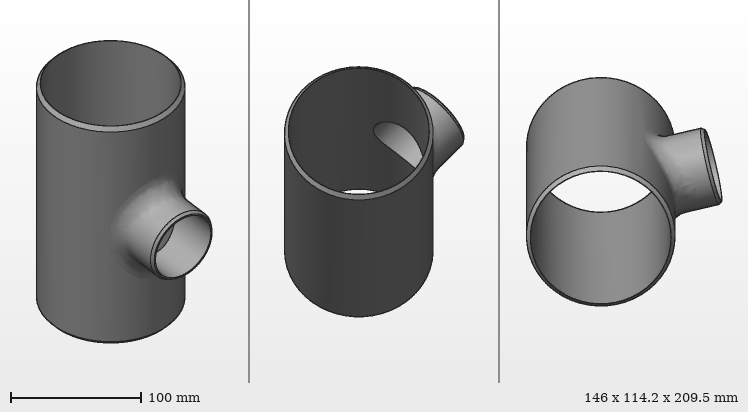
import cadquery as cq

run_length = 209.5
run_diameter = 114.2
run_wall = 3.1
run_bevel_height = 3.5
run_bevel_depth = 3.0

branch_reach = 88.9
branch_diameter = 60.4
branch_wall = 3.0
branch_bevel_length = 2.5
branch_bevel_depth = 1.7

crotch_radius = 17.6

run_radius = run_diameter / 2
branch_radius = branch_diameter / 2


def run_cylinder(radius):
    """Cylinder over the full length of the run, centred on the origin."""
    return cq.Workplane("XY").circle(radius).extrude(run_length / 2, both=True)


def branch_cylinder(radius):
    """Cylinder from the run axis out to the branch end face."""
    return cq.Workplane("YZ").circle(radius).extrude(branch_reach)


outside = run_cylinder(run_radius).union(branch_cylinder(branch_radius))
crotch_box = cq.selectors.BoxSelector(
    (0, -run_radius, -run_length / 4),
    (branch_reach - crotch_radius / 2, run_radius, run_length / 4),
)
outside = outside.edges(crotch_box).fillet(crotch_radius)

outside = outside.faces("<Z").edges().chamfer(run_bevel_height, run_bevel_depth)
outside = outside.faces(">Z").edges().chamfer(run_bevel_height, run_bevel_depth)
outside = outside.faces(">X").edges().chamfer(branch_bevel_length, branch_bevel_depth)

run_bore = run_cylinder(run_radius - run_wall)
branch_bore = branch_cylinder(branch_radius - branch_wall)
result = outside.cut(run_bore).cut(branch_bore)